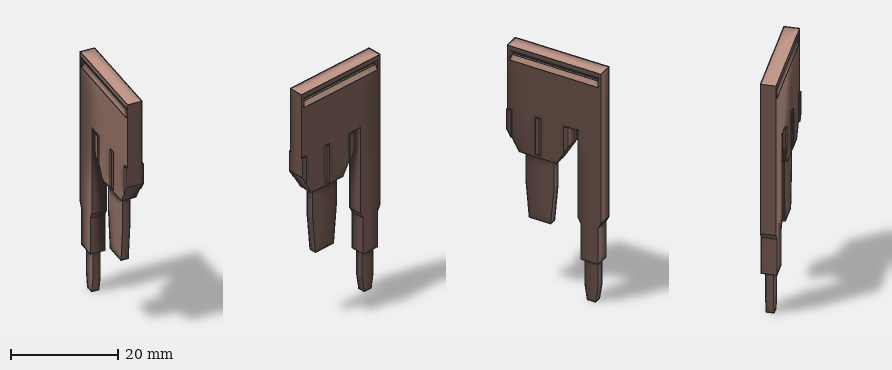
import cadquery as cq

total_height = 51.65
body_width = 20.1
total_thickness = 3.55
body_thickness = 3.0
rib_height = (total_thickness - body_thickness) / 2
metal_thickness = 1.5
front_face = -body_thickness / 2

leg_width = 4.95
leg_step = 0.6
leg_center = leg_width / 2
step_top_z = 18.4
step_bottom_z = 17.15
collar_bottom_z = 9.15

lug_left = 6.9
lug_center = (lug_left + body_width) / 2
lug_top_z = 37.6
lug_chamfer_z = 33.25
lug_bottom_z = 28.75
lug_bottom_width = 8.0

wide_blade_width = 6.05
wide_blade_tip_width = 4.6
wide_blade_taper_z = 22.4
wide_blade_tip_z = 14.3
narrow_blade_width = 2.8
narrow_blade_tip_width = 1.75
narrow_blade_taper_z = 3.3

edge_rib_width = 1.0
center_rib_width = 1.25
center_rib_crest = 0.65
center_rib_bottom_z = 29.2
center_rib_end_slope = (center_rib_width - center_rib_crest) / 2

groove_margin = 0.6
groove_top_z = total_height - 1.0
groove_floor_z = total_height - 2.15
groove_lip_z = total_height - 3.15
groove_lip_depth = 0.6
groove_depth = 1.1


def extrude_across(points, thickness):
    """Extrude an XZ outline symmetrically about the mid-plane."""
    return cq.Workplane("XZ").polyline(points).close().extrude(thickness / 2, both=True)


def blade(center_x, root_z, taper_z, tip_z, width, tip_width):
    """Flat metal blade narrowing towards its lower tip."""
    half = width / 2
    half_tip = tip_width / 2
    outline = [
        (center_x - half, root_z),
        (center_x + half, root_z),
        (center_x + half, taper_z),
        (center_x + half_tip, tip_z),
        (center_x - half_tip, tip_z),
        (center_x - half, taper_z),
    ]
    return extrude_across(outline, metal_thickness)


def both_faces(front_solid):
    """Pair a front-face solid with its mirror image on the back face."""
    return front_solid.union(front_solid.mirror("XZ"))


def lug_outline():
    half_bottom = lug_bottom_width / 2
    return [
        (lug_left, lug_top_z),
        (lug_left, lug_chamfer_z),
        (lug_center - half_bottom, lug_bottom_z),
        (lug_center + half_bottom, lug_bottom_z),
        (body_width, lug_chamfer_z),
        (body_width, lug_top_z),
    ]


def body():
    leg_outline = [
        (0, total_height),
        (0, step_top_z),
        (leg_step, step_bottom_z),
        (leg_step, collar_bottom_z),
        (leg_width - leg_step, collar_bottom_z),
        (leg_width - leg_step, step_bottom_z),
        (leg_width, step_top_z),
        (leg_width, lug_top_z),
    ]
    outline = leg_outline + lug_outline() + [(body_width, total_height)]
    return extrude_across(outline, body_thickness)


def edge_ribs():
    """Raised strips along both lug sides, trimmed by the lug outline."""
    middle_width = body_width - lug_left - 2 * edge_rib_width
    middle = cq.Workplane("XY").box(middle_width, total_thickness, total_height)
    middle = middle.translate((lug_center, 0, lug_top_z))
    return extrude_across(lug_outline(), total_thickness).cut(middle)


def center_rib():
    """Rib with sloped sides and lower end, and a square upper end."""
    half_base = center_rib_width / 2
    half_crest = center_rib_crest / 2
    crest_face = front_face - rib_height
    section = [
        (lug_center - half_base, front_face),
        (lug_center - half_crest, crest_face),
        (lug_center + half_crest, crest_face),
        (lug_center + half_base, front_face),
    ]
    rib = (
        cq.Workplane("XY", origin=(0, 0, center_rib_bottom_z))
        .polyline(section).close()
        .extrude(lug_top_z - center_rib_bottom_z)
    )
    end_section = [
        (front_face, center_rib_bottom_z),
        (crest_face, center_rib_bottom_z),
        (crest_face, center_rib_bottom_z + center_rib_end_slope),
    ]
    end_cut = cq.Workplane("YZ").polyline(end_section).close().extrude(body_width)
    return both_faces(rib.cut(end_cut))


def grip_grooves():
    section = [
        (front_face, groove_top_z),
        (front_face + groove_depth, groove_top_z),
        (front_face + groove_depth, groove_floor_z),
        (front_face + groove_lip_depth, groove_floor_z),
        (front_face, groove_lip_z),
    ]
    groove = (
        cq.Workplane("YZ", origin=(groove_margin, 0, 0))
        .polyline(section).close()
        .extrude(body_width - 2 * groove_margin)
    )
    return both_faces(groove)


wide_blade = blade(
    lug_center, lug_bottom_z, wide_blade_taper_z, wide_blade_tip_z,
    wide_blade_width, wide_blade_tip_width,
)
narrow_blade = blade(
    leg_center, collar_bottom_z, narrow_blade_taper_z, 0,
    narrow_blade_width, narrow_blade_tip_width,
)

result = (
    body()
    .union(edge_ribs())
    .union(center_rib())
    .union(wide_blade)
    .union(narrow_blade)
    .cut(grip_grooves())
)